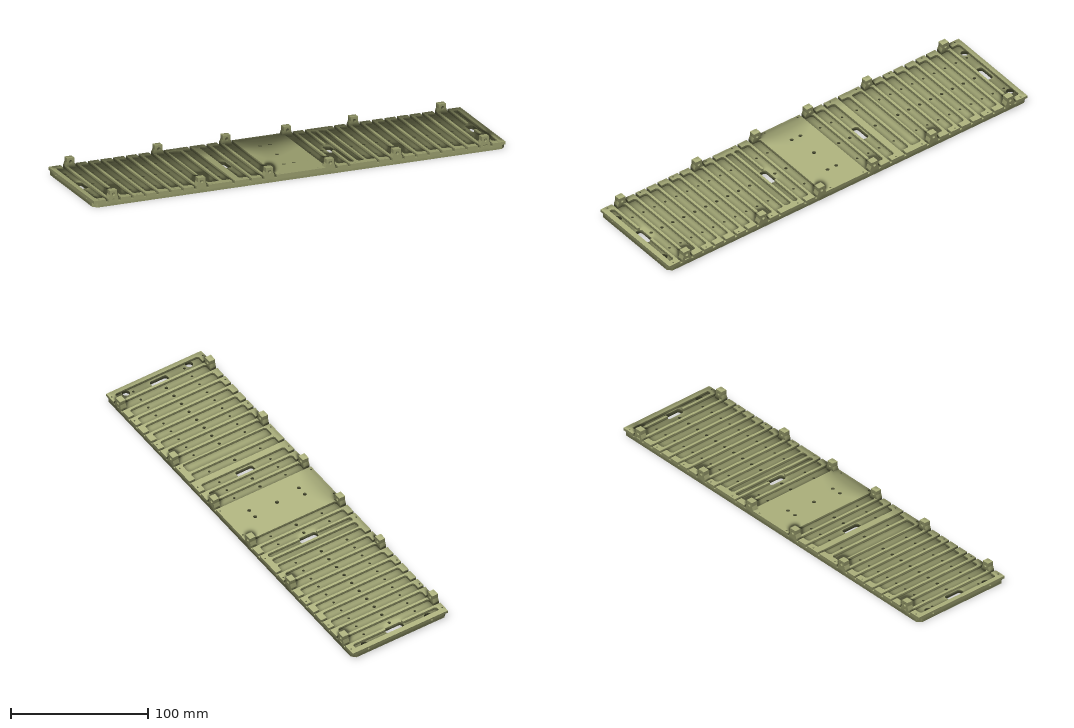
import cadquery as cq

LENGTH = 327.5
WIDTH = 83.0
PLATE_HEIGHT = 5.2
TOTAL_HEIGHT = 11.5
RECESS_DEPTH = 2.13
CORNER_CHAMFER = 3.1
CORNER_CHAMFER_HEIGHT = 3.1

GROOVE_WIDTH = 2.0
LADDER_SPAN = 90.0
LADDER_STEPS = 9
PITCH = LADDER_SPAN / LADDER_STEPS
POCKET_LENGTH = PITCH - GROOVE_WIDTH
WALL = 5.0
POCKET_WIDTH = WIDTH - 2 * WALL
POCKET_RADIUS = 2.0


def ladder(first, count):
    """Upper edges (+Y) of evenly pitched rows, going towards -Y."""
    return [first - i * PITCH for i in range(count)]


UPPER_ROWS = ladder(153.5, LADDER_STEPS + 1)
UPPER_INNER_ROWS = ladder(40.3, 2)
LOWER_INNER_ROWS = ladder(-18.0, 3)
LONE_ROW = -51.5
LOWER_ROWS = ladder(-72.0, LADDER_STEPS)
ROWS = UPPER_ROWS + UPPER_INNER_ROWS + LOWER_INNER_ROWS + [LONE_ROW] + LOWER_ROWS

END_POCKET = (159.5, 155.5)
CLOSED_POCKETS = [(54.0, 48.0), (46.2, 42.0), (-61.5, -70.7)]

CLIP_STEPS = 7
TOP_CLIP_ROW = UPPER_ROWS[0]
BOTTOM_CLIP_ROW = LOWER_ROWS[CLIP_STEPS]
CLIP_ROWS = [TOP_CLIP_ROW, UPPER_ROWS[CLIP_STEPS], UPPER_INNER_ROWS[-1]]
CLIP_ROWS += [LOWER_INNER_ROWS[0], LOWER_ROWS[0], BOTTOM_CLIP_ROW]
CLIP_BASE = PITCH - GROOVE_WIDTH
CLIP_FLARE = 1.15
FLARE_HEIGHT = 3.0
CLIP_HOLE = 2.5
CLIP_HOLE_Z = 8.5

ROW_HOLE_OFFSET = 4.5
ROW_HOLE_X = 22.3
ROW_SIDE_HOLE = 2.0
ROW_CENTRE_HOLE = 2.5
MOUNT_X = 21.5
MOUNT_Y = 4.0
MOUNT_HOLE = 3.0
CENTRE_HOLE = 3.3
EDGE_HOLE = 1.3
EDGE_HOLE_X = 39.5
EDGE_HOLE_YS = [15.0, 45.0, 68.8, 99.0, 128.7, 159.0]

WINDOW_LENGTH = 15.0
WINDOW_WIDTH = 6.2
WINDOW_RADIUS = 2.0
WINDOW_YS = [155.5, 42.0, -42.0, -155.5]

SEAT_X = 27.5
SEAT_Y = 158.5
SEAT_DIAMETER = 6.0
SEAT_DEPTH = 4.3
END_HOLE = 1.5
END_HOLE_Z = 3.3

SIDE_SLOT_DEPTH = 3.0
SIDE_SLOT_HEIGHT = 1.0
SIDE_SLOT_Z = 4.5
TOP_SLOT_LENGTH = 4.0
BOTTOM_SLOT_LENGTH = 1.5

FLOOR = PLATE_HEIGHT - RECESS_DEPTH
SIDES = (-1, 1)


def block(x_size, upper, lower, z_low, z_high):
    """Box centred on X between two Y edges."""
    solid = cq.Workplane("XY").box(x_size, upper - lower, z_high - z_low)
    return solid.translate((0, (upper + lower) / 2, (z_low + z_high) / 2))


def recess(upper, lower, rounded_edges):
    pocket = block(POCKET_WIDTH, upper, lower, FLOOR, TOTAL_HEIGHT)
    return pocket.edges(rounded_edges).fillet(POCKET_RADIUS)


def vertical_holes(points, diameter, depth=PLATE_HEIGHT):
    return cq.Workplane("XY").pushPoints(points).circle(diameter / 2).extrude(depth)


def clip(side, row):
    """Upright tab with flared foot, filling the rail between two grooves."""
    upper = row - GROOVE_WIDTH
    lower = upper - CLIP_BASE
    flare_top = PLATE_HEIGHT + FLARE_HEIGHT
    outline = [
        (lower, FLOOR),
        (upper, FLOOR),
        (upper, PLATE_HEIGHT),
        (upper - CLIP_FLARE, flare_top),
        (upper - CLIP_FLARE, TOTAL_HEIGHT),
        (lower + CLIP_FLARE, TOTAL_HEIGHT),
        (lower + CLIP_FLARE, flare_top),
        (lower, PLATE_HEIGHT),
    ]
    tab = cq.Workplane("YZ").polyline(outline).close().extrude(WALL / 2, both=True)
    middle = (upper + lower) / 2
    hole = cq.Workplane("YZ").center(middle, CLIP_HOLE_Z).circle(CLIP_HOLE / 2).extrude(WALL, both=True)
    return tab.cut(hole).translate((side * (WIDTH - WALL) / 2, 0, 0))


def corner_cut(x_side, y_side):
    """Triangular cut below the plate's corner."""
    x = x_side * WIDTH / 2
    y = y_side * LENGTH / 2
    triangle = [(x, y), (x - x_side * CORNER_CHAMFER, y), (x, y - y_side * CORNER_CHAMFER)]
    return cq.Workplane("XY").polyline(triangle).close().extrude(CORNER_CHAMFER_HEIGHT)


def side_slot(side, row, length):
    middle = row - GROOVE_WIDTH - CLIP_BASE / 2
    slot = cq.Workplane("XY").box(2 * SIDE_SLOT_DEPTH, length, SIDE_SLOT_HEIGHT)
    return slot.translate((side * WIDTH / 2, middle, SIDE_SLOT_Z))


plate = block(WIDTH, LENGTH / 2, -LENGTH / 2, 0, PLATE_HEIGHT)

for row in ROWS:
    plate = plate.cut(block(WIDTH, row, row - GROOVE_WIDTH, FLOOR, TOTAL_HEIGHT))
    plate = plate.cut(recess(row, row - POCKET_LENGTH, "|Z and <Y"))
plate = plate.cut(recess(*END_POCKET, "|Z and <Y"))
for upper, lower in CLOSED_POCKETS:
    plate = plate.cut(recess(upper, lower, "|Z"))

for side in SIDES:
    for row in CLIP_ROWS:
        plate = plate.union(clip(side, row))

row_hole_ys = [row - ROW_HOLE_OFFSET for row in ROWS]
row_side_points = [(s * ROW_HOLE_X, y) for s in SIDES for y in row_hole_ys]
plate = plate.cut(vertical_holes(row_side_points, ROW_SIDE_HOLE))
windowed_rows = (LOWER_INNER_ROWS[-1], LOWER_ROWS[-1])
centre_ys = [row - ROW_HOLE_OFFSET for row in ROWS if row not in windowed_rows]
plate = plate.cut(vertical_holes([(0, y) for y in centre_ys], ROW_CENTRE_HOLE))
mount_points = [(s * MOUNT_X, t * MOUNT_Y) for s in SIDES for t in SIDES]
plate = plate.cut(vertical_holes(mount_points, MOUNT_HOLE))
plate = plate.cut(vertical_holes([(0, 0)], CENTRE_HOLE))
edge_points = [(s * EDGE_HOLE_X, t * y) for s in SIDES for t in SIDES for y in EDGE_HOLE_YS]
plate = plate.cut(vertical_holes(edge_points, EDGE_HOLE))

for y in WINDOW_YS:
    window = block(WINDOW_LENGTH, y + WINDOW_WIDTH / 2, y - WINDOW_WIDTH / 2, 0, PLATE_HEIGHT)
    plate = plate.cut(window.edges("|Z").fillet(WINDOW_RADIUS))

seat_points = [(s * SEAT_X, t * SEAT_Y) for s in SIDES for t in SIDES]
plate = plate.cut(vertical_holes(seat_points, SEAT_DIAMETER, SEAT_DEPTH))
for x_side in SIDES:
    for y_side in SIDES:
        end_hole = cq.Workplane("XZ").center(x_side * SEAT_X, END_HOLE_Z).circle(END_HOLE / 2)
        end_hole = end_hole.extrude(LENGTH / 2 - SEAT_Y)
        end_start = LENGTH / 2 if y_side > 0 else -SEAT_Y
        plate = plate.cut(end_hole.translate((0, end_start, 0)))
        plate = plate.cut(corner_cut(x_side, y_side))

for side in SIDES:
    plate = plate.cut(side_slot(side, TOP_CLIP_ROW, TOP_SLOT_LENGTH))
    plate = plate.cut(side_slot(side, BOTTOM_CLIP_ROW, BOTTOM_SLOT_LENGTH))

result = plate